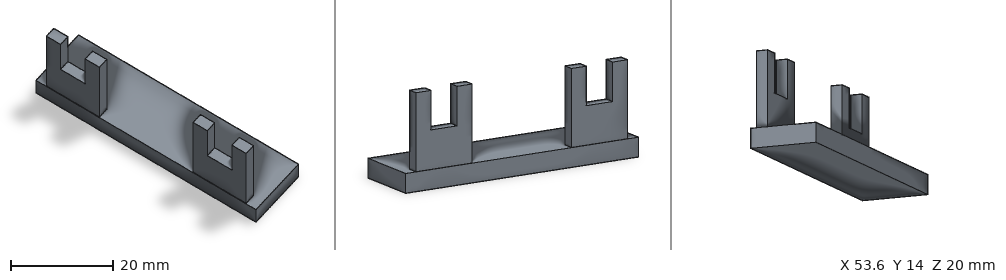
import cadquery as cq

base_length = 53.65
base_depth = 14.0
base_height = 4.0

total_height = 20.0
fork_width = 12.95
fork_thickness = 2.4
fork_height = total_height - base_height
fork_end_inset = 2.45
fork_front_inset = 0.1
slot_width = 6.0
slot_depth = 8.0

fork_center_offset = base_length / 2 - fork_end_inset - fork_width / 2
fork_center_y = -base_depth / 2 + fork_front_inset + fork_thickness / 2


def make_base():
    """Rectangular plate with its underside at Z = 0."""
    return cq.Workplane("XY").box(base_length, base_depth, base_height, centered=(True, True, False))


def make_fork(center_x):
    """Upright with a centered slot open at the top, resting on the base."""
    centered = (True, True, False)
    upright = cq.Workplane("XY").box(fork_width, fork_thickness, fork_height, centered=centered)
    slot = (
        cq.Workplane("XY", origin=(0, 0, fork_height - slot_depth))
        .box(slot_width, fork_thickness, slot_depth, centered=centered)
    )
    return upright.cut(slot).translate((center_x, fork_center_y, base_height))


base = make_base()
forks = [make_fork(side * fork_center_offset) for side in (-1, 1)]

result = cq.Compound.makeCompound([base.val(), *[fork.val() for fork in forks]])